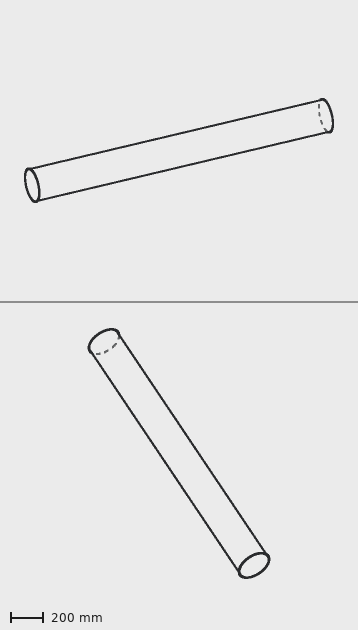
import cadquery as cq

length = 1988.0
inner_diameter = 199.0
outer_diameter = 203.0
flange_diameter = 215.0
flange_thickness = 2.0


def ring(outside, inside, start_y, depth):
    """Ring about the Y axis, reaching from start_y toward +Y."""
    return (
        cq.Workplane("XZ", origin=(0, start_y, 0))
        .circle(outside / 2)
        .circle(inside / 2)
        .extrude(-depth)
    )


end_y = length / 2
result = ring(outer_diameter, inner_diameter, -end_y, length)

for flange_start in (-end_y, end_y - flange_thickness):
    result = result.union(ring(flange_diameter, inner_diameter, flange_start, flange_thickness))